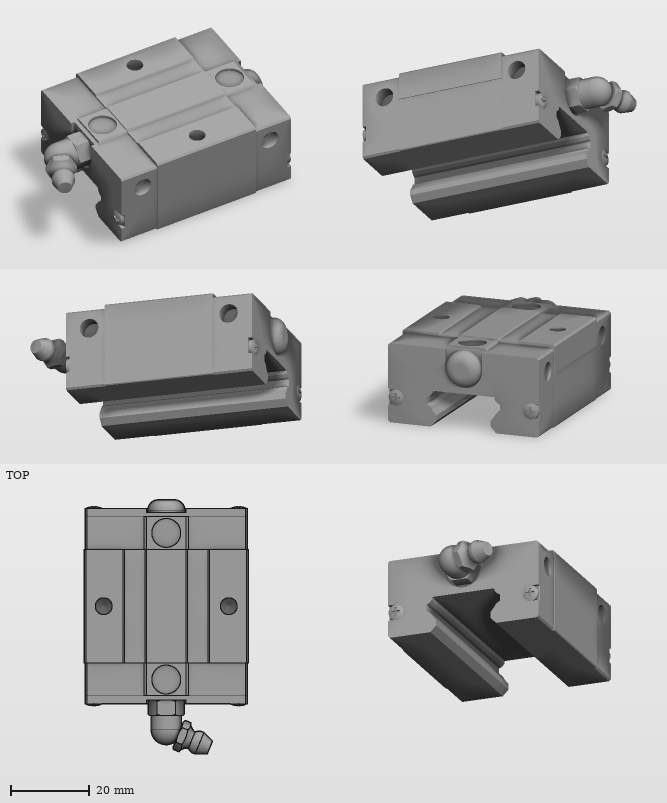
import cadquery as cq
import math


block_half_length = 14.5
cap_end = 22.9
plate_end = 25.0

block_half_width = 21.0
block_height = 22.0
block_chamfer = 0.5
block_bottom_chamfer = 0.25
reference_step = 0.2
reference_step_height = 14.5
groove_depth = 0.5
groove_outer = 11.1
groove_inner = 5.5
groove_slope = 0.4

cap_half_width = 20.75
cap_height = 21.0
cap_chamfer = 0.5
ridge_half_width = 5.1
ridge_height = 0.65

opening_outline = [
    (-9.05, 0),
    (-7.45, 1.65),
    (-7.45, 3.1),
    (-8.65, 4.6),
    (-9.0, 5.3),
    (-10.1, 5.9),
    (-10.1, 7.7),
    (-9.4, 8.0),
    (-8.7, 8.7),
    (-8.5, 9.55),
]

mount_hole_x = 16.0
mount_hole_radius = 2.15
mount_hole_depth = 8.0
drill_point_angle = 118.0
port_y = 18.75
top_port_radius = 3.7
top_port_depth = 0.8
side_port_radius = 2.5
side_port_z = 16.0
side_port_depth = 4.0

screw_x = 18.5
screw_z = 6.8
screw_radius = 2.1
screw_seat_depth = 1.0
screw_edge_height = 1.0
screw_head_height = 1.5
cross_length = 2.4
cross_width = 0.6
cross_depth = 0.6

port_z = 16.1
port_radius = 5.1
port_depth = 1.0
plug_radius = 4.8
plug_rounding = 2.8
plug_end = 27.28
elbow_flats = 8.0
elbow_hex_length = 4.0
elbow_hex_end_radius = 4.25
elbow_radius = 3.92
elbow_center_y = -31.55

nipple_angle = 22.5
nipple_flats = 7.0
nipple_start = 3.3
nipple_hex_end = 5.15
nipple_chamfer_angle = 30.0
neck_position = 7.05
neck_radius = 2.3
neck_flare_position = 5.85
neck_flare_radius = 2.95
bulb_position = 8.2
bulb_radius = 2.95
cone_position = 9.2
tip_position = 12.1
tip_radius = 1.8


def extrude_y(points, start, end):
    """Closed XZ outline extruded between two Y positions."""
    return cq.Workplane("XZ", origin=(0, end, 0)).polyline(points).close().extrude(end - start)


def mirror_points(half):
    """Close a left-hand outline with its mirror image across X = 0."""
    return half + [(-x, z) for x, z in reversed(half)]


def steel_block():
    left = -block_half_width
    step_x = left + reference_step
    top = block_height
    floor = top - groove_depth
    left_top = [
        (left, reference_step_height),
        (left, top - block_chamfer),
        (left + block_chamfer, top),
        (-groove_outer, top),
        (-groove_outer + groove_slope, floor),
        (-groove_inner, floor),
        (-groove_inner + groove_slope, top),
    ]
    right_top = [(-x, z) for x, z in reversed(left_top[1:])]
    right_bottom = [
        (block_half_width, block_bottom_chamfer),
        (block_half_width - block_bottom_chamfer, 0),
    ]
    left_bottom = [
        (step_x + block_bottom_chamfer, 0),
        (step_x, block_bottom_chamfer),
        (step_x, reference_step_height),
    ]
    outline = left_top + right_top + right_bottom + left_bottom
    return extrude_y(outline, -block_half_length, block_half_length)


def end_section(start, end):
    """Chamfered rectangular section shared by the caps and the end plates."""
    left_half = [
        (-cap_half_width + cap_chamfer, 0),
        (-cap_half_width, cap_chamfer),
        (-cap_half_width, cap_height - cap_chamfer),
        (-cap_half_width + cap_chamfer, cap_height),
    ]
    return extrude_y(mirror_points(left_half), start, end)


def cap_ridge():
    """Raised strip along the front cap, with flanks sloping at 45 degrees."""
    left_half = [
        (-ridge_half_width - ridge_height, cap_height),
        (-ridge_half_width, cap_height + ridge_height),
    ]
    return extrude_y(mirror_points(left_half), -cap_end, -block_half_length)


def rail_opening():
    return extrude_y(mirror_points(opening_outline), -plate_end, plate_end)


def mounting_hole(x):
    point_length = mount_hole_radius / math.tan(math.radians(drill_point_angle / 2))
    wall_bottom = block_height - mount_hole_depth
    profile = [
        (0, block_height),
        (mount_hole_radius, block_height),
        (mount_hole_radius, wall_bottom),
        (0, wall_bottom - point_length),
    ]
    hole = cq.Workplane("XZ").polyline(profile).close().revolve(360, (0, 0), (0, 1))
    return hole.translate((x, 0, 0))


def top_port(y):
    ridge_top = cap_height + ridge_height
    return cq.Workplane("XY", origin=(0, y, ridge_top)).circle(top_port_radius).extrude(-top_port_depth)


def side_port(y, side):
    port = cq.Workplane("YZ", origin=(side * cap_half_width, y, side_port_z))
    return port.circle(side_port_radius).extrude(-side * side_port_depth)


def front_pocket(x, z, radius, depth):
    return cq.Workplane("XZ", origin=(x, -plate_end, z)).circle(radius).extrude(-depth)


def grease_recess():
    """Round-bottomed slot in the front end plate, open at the top."""
    height = cap_height - port_z
    slot = cq.Workplane("XY").box(2 * port_radius, port_depth, height, centered=(True, False, False))
    slot = slot.translate((0, -plate_end, port_z))
    return slot.union(front_pocket(0, port_z, port_radius, port_depth))


def screw_seat(side):
    """Round-ended slot in the front end plate, open towards the nearest side."""
    width = cap_half_width - screw_x
    slot = cq.Workplane("XY").box(width, screw_seat_depth, 2 * screw_radius, centered=(True, False, True))
    slot = slot.translate((side * (screw_x + width / 2), -plate_end, screw_z))
    return slot.union(front_pocket(side * screw_x, screw_z, screw_radius, screw_seat_depth))


def screw_head(side):
    """Domed head with a cross recess, standing in the front screw seat."""
    rise = screw_head_height - screw_edge_height
    sphere_radius = (screw_radius**2 + rise**2) / (2 * rise)
    middle_radius = screw_radius / 2
    middle_height = screw_head_height - sphere_radius + math.sqrt(sphere_radius**2 - middle_radius**2)
    profile = (
        cq.Workplane("XY")
        .lineTo(screw_radius, 0)
        .lineTo(screw_radius, screw_edge_height)
        .threePointArc((middle_radius, middle_height), (0, screw_head_height))
        .close()
    )
    head = profile.revolve(360, (0, 0), (0, 1))
    cross_center = (0, screw_head_height - cross_depth / 2, 0)
    for size_x, size_z in ((cross_length, cross_width), (cross_width, cross_length)):
        head = head.cut(cq.Workplane("XY").box(size_x, cross_depth, size_z).translate(cross_center))
    head = head.rotate((0, 0, 0), (0, 0, 1), 180)
    return head.translate((side * screw_x, screw_seat_depth - plate_end, screw_z))


def plug():
    """Rounded plug closing the grease port of the rear end plate."""
    base = plate_end - port_depth
    body = cq.Workplane("XZ", origin=(0, base, port_z)).circle(plug_radius).extrude(base - plug_end)
    return body.faces(">Y").edges().fillet(plug_rounding)


def elbow_hexagon():
    """Hexagon along -Y from the origin, flats facing up and down, corners coned at both ends."""
    corner_radius = elbow_flats / math.sqrt(3)
    chamfer = corner_radius - elbow_hex_end_radius
    prism = cq.Workplane("XZ").polygon(6, 2 * corner_radius).extrude(elbow_hex_length)
    profile = [
        (0, 0),
        (elbow_hex_end_radius, 0),
        (corner_radius, -chamfer),
        (corner_radius, chamfer - elbow_hex_length),
        (elbow_hex_end_radius, -elbow_hex_length),
        (0, -elbow_hex_length),
    ]
    envelope = cq.Workplane("XY").polyline(profile).close().revolve(360, (0, 0), (0, 1))
    return prism.intersect(envelope)


def nipple():
    """Grease nipple along -Y: coned hexagon flaring down to a neck, then a bulb and a conical tip."""
    corner_radius = nipple_flats / math.sqrt(3)
    cone_radius = tip_radius + (tip_position - cone_position) * math.tan(math.radians(nipple_angle))
    start_radius = nipple_flats / 2
    chamfer = (corner_radius - start_radius) * math.tan(math.radians(nipple_chamfer_angle))
    prism = cq.Workplane("XZ").polygon(6, 2 * corner_radius).extrude(neck_position)
    envelope = (
        cq.Workplane("XY")
        .moveTo(0, -nipple_start)
        .lineTo(start_radius, -nipple_start)
        .lineTo(corner_radius, -nipple_start - chamfer)
        .lineTo(corner_radius, -nipple_hex_end)
        .threePointArc((neck_flare_radius, -neck_flare_position), (neck_radius, -neck_position))
        .lineTo(0, -neck_position)
        .close()
        .revolve(360, (0, 0), (0, 1))
    )
    head = (
        cq.Workplane("XY")
        .moveTo(0, -neck_position)
        .lineTo(neck_radius, -neck_position)
        .threePointArc((bulb_radius, -bulb_position), (cone_radius, -cone_position))
        .lineTo(tip_radius, -tip_position)
        .lineTo(0, -tip_position)
        .close()
        .revolve(360, (0, 0), (0, 1))
    )
    return prism.intersect(envelope).union(head)


def grease_elbow():
    base = port_depth - plate_end
    hexagon = elbow_hexagon().translate((0, base, 0))
    barrel = cq.Workplane("XZ", origin=(0, base, 0)).circle(elbow_radius).extrude(base - elbow_center_y)
    ball = cq.Workplane("XY").sphere(elbow_radius).translate((0, elbow_center_y, 0))
    turned = nipple().rotate((0, 0, 0), (0, 0, 1), 90 - nipple_angle)
    elbow = hexagon.union(barrel).union(ball).union(turned.translate((0, elbow_center_y, 0)))
    return elbow.translate((0, 0, port_z))


def both_ends(feature):
    """The front feature together with its mirror image at the rear."""
    return [feature, feature.mirror("XZ")]


body = steel_block()
cap = end_section(-cap_end, -block_half_length).union(cap_ridge())
plate = end_section(-plate_end, -cap_end)
for section in both_ends(cap) + both_ends(plate):
    body = body.union(section, clean=False)
body = body.cut(rail_opening(), clean=False)

cuts = both_ends(grease_recess())
for side in (-1, 1):
    cuts.append(mounting_hole(side * mount_hole_x))
    cuts.append(top_port(side * port_y))
    cuts += both_ends(side_port(-port_y, side))
    cuts += both_ends(screw_seat(side))
for tool in cuts:
    body = body.cut(tool, clean=False)

fittings = [grease_elbow(), plug()]
for side in (-1, 1):
    fittings += both_ends(screw_head(side))
for fitting in fittings:
    body = body.union(fitting, clean=False)

result = body